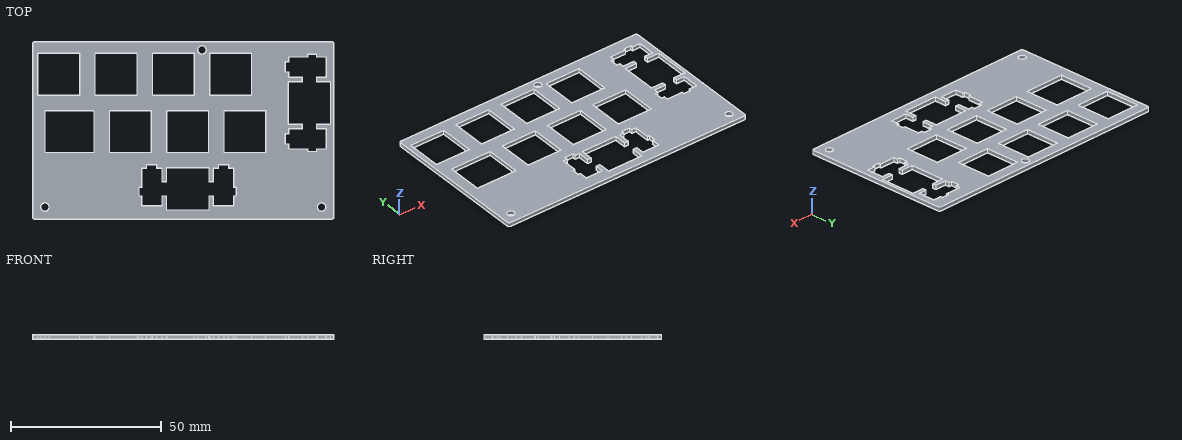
import cadquery as cq


PLATE_X = 100.0
PLATE_Y = 59.02
PLATE_THICKNESS = 1.6
CORNER_RADIUS = 0.75

KEY_PITCH = 19.01
SWITCH_SIZE = 13.8
KEYS_PER_ROW = 4
ROW_1_FIRST_X = -41.31
ROW_1_Y = 18.64
ROW_STAGGER = 1.25 * KEY_PITCH
ROW_2_FIRST_X = ROW_1_FIRST_X + ROW_STAGGER
ROW_2_Y = ROW_1_Y - KEY_PITCH
ROW_3_Y = ROW_2_Y - KEY_PITCH

WIDE_KEY_SHIFT = 0.125 * KEY_PITCH
WIDE_CUTOUT_X = SWITCH_SIZE + WIDE_KEY_SHIFT
WIDE_KEY_X = ROW_2_FIRST_X - KEY_PITCH - WIDE_KEY_SHIFT / 2

STAB_SWITCH_SIZE = 14.0
CHANNEL_HALF_HEIGHT = 2.3
PAD_INNER_X = 8.575
PAD_OUTER_X = 15.225
PAD_TOP_Y = 6.77
PAD_BOTTOM_Y = -5.53
NOTCH_INNER_X = 10.3
NOTCH_OUTER_X = 13.6
NOTCH_TOP_Y = 7.97
TAB_OUTER_X = 16.1
TAB_TOP_Y = 0.5
TAB_BOTTOM_Y = -CHANNEL_HALF_HEIGHT

BOTTOM_STAB_X = ROW_2_FIRST_X + KEY_PITCH
SIDE_STAB_GAP = 1.375 * KEY_PITCH
SIDE_STAB_X = ROW_1_FIRST_X + (KEYS_PER_ROW - 1) * KEY_PITCH + SIDE_STAB_GAP
SIDE_STAB_Y = (ROW_1_Y + ROW_2_Y) / 2
SIDE_STAB_ANGLE = 90

HOLE_DIAMETER = 2.7
CORNER_HOLE_INSET = 4.1
TOP_HOLE_INSET = 2.8
TOP_HOLE_X = ROW_1_FIRST_X + 2.5 * KEY_PITCH


def block(x_min, x_max, y_min, y_max):
    """Plate-thick block between the given X and Y limits."""
    size_x = x_max - x_min
    size_y = y_max - y_min
    return (
        cq.Workplane("XY")
        .box(size_x, size_y, PLATE_THICKNESS, centered=False)
        .translate((x_min, y_min, 0))
    )


def make_plate():
    return (
        cq.Workplane("XY")
        .box(PLATE_X, PLATE_Y, PLATE_THICKNESS, centered=(True, True, False))
        .edges("|Z")
        .fillet(CORNER_RADIUS)
    )


def cut_switches(plate):
    centres = [(ROW_1_FIRST_X + i * KEY_PITCH, ROW_1_Y) for i in range(KEYS_PER_ROW)]
    centres += [(ROW_2_FIRST_X + i * KEY_PITCH, ROW_2_Y) for i in range(KEYS_PER_ROW - 1)]
    switches = (
        cq.Workplane("XY")
        .pushPoints(centres)
        .rect(SWITCH_SIZE, SWITCH_SIZE)
        .extrude(PLATE_THICKNESS)
    )
    wide_switch = (
        cq.Workplane("XY")
        .center(WIDE_KEY_X, ROW_2_Y)
        .rect(WIDE_CUTOUT_X, SWITCH_SIZE)
        .extrude(PLATE_THICKNESS)
    )
    return plate.cut(switches).cut(wide_switch)


def stabilised_key():
    """Cutter for a switch with a stabiliser pad on each side, centred on the origin."""
    half_switch = STAB_SWITCH_SIZE / 2
    pad = block(PAD_INNER_X, PAD_OUTER_X, PAD_BOTTOM_Y, PAD_TOP_Y)
    notch = block(NOTCH_INNER_X, NOTCH_OUTER_X, PAD_BOTTOM_Y, NOTCH_TOP_Y)
    tab = block(PAD_INNER_X, TAB_OUTER_X, TAB_BOTTOM_Y, TAB_TOP_Y)
    right_side = pad.union(notch).union(tab)
    channel = block(-PAD_OUTER_X, PAD_OUTER_X, -CHANNEL_HALF_HEIGHT, CHANNEL_HALF_HEIGHT)
    switch = block(-half_switch, half_switch, -half_switch, half_switch)
    return switch.union(channel).union(right_side).union(right_side.mirror("YZ"))


def cut_stabilised_keys(plate):
    bottom_key = stabilised_key().translate((BOTTOM_STAB_X, ROW_3_Y, 0))
    side_key = (
        stabilised_key()
        .rotate((0, 0, 0), (0, 0, 1), SIDE_STAB_ANGLE)
        .translate((SIDE_STAB_X, SIDE_STAB_Y, 0))
    )
    return plate.cut(bottom_key).cut(side_key)


def cut_mounting_holes(plate):
    corner_x = PLATE_X / 2 - CORNER_HOLE_INSET
    corner_y = -PLATE_Y / 2 + CORNER_HOLE_INSET
    top_y = PLATE_Y / 2 - TOP_HOLE_INSET
    holes = (
        cq.Workplane("XY")
        .pushPoints([(-corner_x, corner_y), (corner_x, corner_y), (TOP_HOLE_X, top_y)])
        .circle(HOLE_DIAMETER / 2)
        .extrude(PLATE_THICKNESS)
    )
    return plate.cut(holes)


result = make_plate()
result = cut_switches(result)
result = cut_stabilised_keys(result)
result = cut_mounting_holes(result)